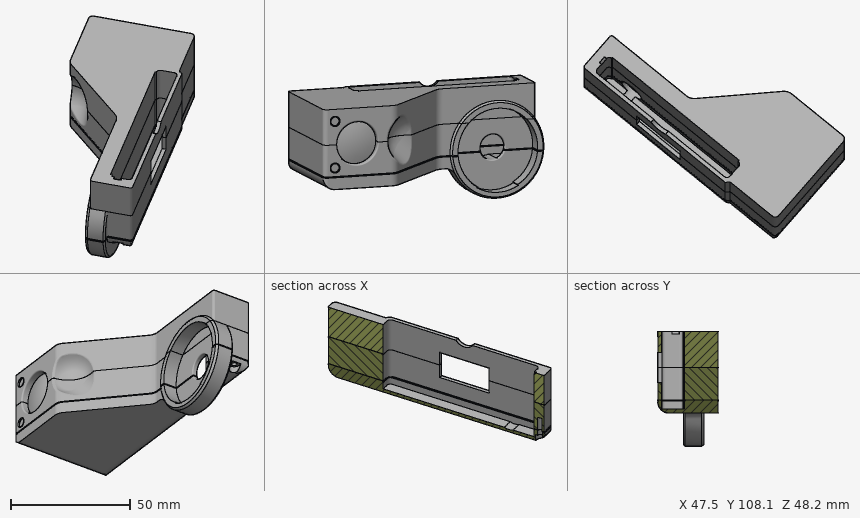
import cadquery as cq
import math

TOP_Z = 48.2
BOTTOM_Z = 14.0
WIDTH = 47.5
LENGTH = 108.1
ARM_LEFT_X = 29.1
ARM_END_Y = 3.8
SLANT_SUM = 76.1
STEP_X = 1.5
STEP_TOP_Y = 83.1
BLOCK_CORNER_R = 2.0
BEND_R = 5.0
ARM_CORNER_R = 1.0
BOTTOM_ROUND_R = 4.9

NEAR = 0.1
CUT_MARGIN = 1.1

MID_SEAM_Z = 33.1
LOW_SEAM_Z = 19.5
SEAM_CHAMFER = 0.4

DISH_R = 20.9
DISH_Y = DISH_R
DISH_Z = DISH_R
DISH_LEFT_X = 28.0
DISH_RIGHT_X = 36.7
DISH_RIM_CHAMFER_X = 1.1
DISH_RIM_CHAMFER_R = 0.8
DISH_BACK_CHAMFER = 0.8
DISH_BORE_R = 17.7
DISH_DEPTH = 6.3
DISH_FLOOR_X = DISH_LEFT_X + DISH_DEPTH
RELIEF_R = 18.2
RELIEF_HALF_ANGLE = 30.0
DISH_HOLE_D = 11.0
DISH_HOLE_ROUND_R = 0.5
DISH_BLEND_R = 5.0
DISH_ROOT_R = 0.3

SLOT_LEFT_X = 36.9
SLOT_RIGHT_X = 45.7
SLOT_Y0 = 8.9
SLOT_Y1 = 81.4
SLOT_FLOOR_Z = 15.8
SLOT_CORNER_R = 1.6
SLOT_SIDE_RELIEF = 0.5
SLOT_SIDE_MARGIN = 1.6
RAMP_X = 39.9
RAMP_WIDTH = 3.2
RAMP_DEPTH = 1.1
WINDOW_Y = 45.1
WINDOW_WIDTH = 23.8
WINDOW_TOP_Z = 39.4
NOTCH_R = 5.0
NOTCH_DEPTH = 2.1

SCOOP_R = 11.2
SCOOP_X = -0.2
SCOOP_Y = 68.2
SCOOP_EDGE_R = 1.0

LENS_Y = 93.2
LENS_D = 20.2
LENS_EDGE = 2.2
LENS_SPHERE_R = 32.4
LENS_LIP = 3.0
LENS_OPENING_D = 18.3
LENS_OPENING_ROUND_R = 0.6
MAGNET_D = 4.2
MAGNET_CHAMFER = 0.3
MAGNET_RECESS = 0.4
MAGNET_LENGTH = 3.0
MAGNET_Y = 103.1
MAGNET_OFFSET_Z = 10.0
MAGNET_HEIGHTS = [MID_SEAM_Z + MAGNET_OFFSET_Z, MID_SEAM_Z - MAGNET_OFFSET_Z]

SCREW_X = 41.2
SCREW_Y = 6.0
SCREW_HEAD_D = 4.2
SCREW_HEAD_TOP_Z = 16.9
SCREW_CLEARANCE_D = 2.3
SCREW_PILOT_D = 2.0
SCREW_PILOT_DEPTH = 6.5


def box(x0, x1, y0, y1, z0, z1):
    return cq.Workplane("XY").box(x1 - x0, y1 - y0, z1 - z0, centered=False).translate((x0, y0, z0))


def cylinder_x(radius, x0, x1, y, z):
    return cq.Workplane("YZ", origin=(x0, y, z)).circle(radius).extrude(x1 - x0)


def cylinder_z(radius, x, y, z0, z1):
    return cq.Workplane("XY", origin=(x, y, z0)).circle(radius).extrude(z1 - z0)


def between(body, low_z, high_z):
    """The part of a body that lies between two heights."""
    layer = box(-CUT_MARGIN, WIDTH + CUT_MARGIN, -CUT_MARGIN, LENGTH + CUT_MARGIN, low_z, high_z)
    return body.intersect(layer)


def vertical_edge(body, x, y):
    selector = cq.selectors.BoxSelector((x - NEAR, y - NEAR, 0), (x + NEAR, y + NEAR, TOP_Z))
    return body.edges("|Z").edges(selector)


def make_block():
    outline = [
        (0, LENGTH),
        (0, SLANT_SUM),
        (ARM_LEFT_X, SLANT_SUM - ARM_LEFT_X),
        (ARM_LEFT_X, ARM_END_Y),
        (WIDTH, ARM_END_Y),
        (WIDTH, STEP_TOP_Y - STEP_X),
        (WIDTH - STEP_X, STEP_TOP_Y),
        (WIDTH - STEP_X, LENGTH),
    ]
    block = cq.Workplane("XY", origin=(0, 0, BOTTOM_Z)).polyline(outline).close().extrude(TOP_Z - BOTTOM_Z)
    flank_bends = outline[1:3]
    arm_corners = outline[3:5]
    block_corners = [outline[0], outline[-1]]
    for corners, radius in (
        (flank_bends, BEND_R),
        (arm_corners, ARM_CORNER_R),
        (block_corners, BLOCK_CORNER_R),
    ):
        for x, y in corners:
            block = vertical_edge(block, x, y).fillet(radius)
    return block


def bottom_rounding():
    """Material outside the rounded bottom edges on the +X, +Y and -Y sides."""
    keep = box(-CUT_MARGIN, WIDTH, ARM_END_Y, LENGTH, BOTTOM_Z, TOP_Z)
    keep = keep.edges("<Z").edges(">X or >Y or <Y").fillet(BOTTOM_ROUND_R)
    surround = box(-CUT_MARGIN, WIDTH + CUT_MARGIN, 0, LENGTH + CUT_MARGIN, BOTTOM_Z, LOW_SEAM_Z)
    return surround.cut(keep)


def dish_disc():
    return cylinder_x(DISH_R, DISH_LEFT_X, DISH_RIGHT_X, DISH_Y, DISH_Z)


def dish_chamfers():
    """Material outside the chamfered edges of the disc, where the disc stands clear of the arm."""
    chamfered = dish_disc().faces("<X").chamfer(DISH_RIM_CHAMFER_X, DISH_RIM_CHAMFER_R)
    chamfered = chamfered.faces(">X").chamfer(DISH_BACK_CHAMFER)
    return dish_disc().cut(chamfered).cut(make_block())


def dish_blend():
    """Concave rounding between the underside of the arm and the disc."""
    r = DISH_BLEND_R
    drop = DISH_Z - BOTTOM_Z
    tangent_y = DISH_Y + math.sqrt((DISH_R + r) ** 2 - (drop + r) ** 2)
    center_z = BOTTOM_Z - r
    wedge = cq.Workplane("YZ", origin=(ARM_LEFT_X, 0, 0)).polyline(
        [(DISH_Y, DISH_Z), (tangent_y, BOTTOM_Z), (tangent_y, center_z)]
    ).close().extrude(DISH_RIGHT_X - DISH_BACK_CHAMFER - ARM_LEFT_X)
    return between(wedge.cut(cylinder_x(r, 0, WIDTH, tangent_y, center_z)), 0, BOTTOM_Z)


def dish_bore():
    bore = cylinder_x(DISH_BORE_R, DISH_LEFT_X, DISH_FLOOR_X, DISH_Y, DISH_Z)
    hole = cylinder_x(DISH_HOLE_D / 2, DISH_FLOOR_X, SLOT_RIGHT_X, DISH_Y, DISH_Z)
    hole_mouth = cq.selectors.RadiusNthSelector(0)
    return bore.union(hole).faces("<X[1]").edges(hole_mouth).fillet(DISH_HOLE_ROUND_R)


def dish_relief():
    """Wider stretch of the bore, a sector centred on the lowest point."""
    half_width = RELIEF_R * math.tan(math.radians(RELIEF_HALF_ANGLE))
    sector = cq.Workplane("YZ", origin=(DISH_LEFT_X, DISH_Y, DISH_Z)).polyline(
        [(0, 0), (-half_width, -RELIEF_R), (half_width, -RELIEF_R)]
    ).close().extrude(DISH_DEPTH)
    ring = cylinder_x(RELIEF_R, DISH_LEFT_X, DISH_FLOOR_X, DISH_Y, DISH_Z)
    return ring.cut(cylinder_x(DISH_BORE_R, DISH_LEFT_X, DISH_FLOOR_X, DISH_Y, DISH_Z)).intersect(sector)


def slot():
    body = box(SLOT_LEFT_X, SLOT_RIGHT_X, SLOT_Y0, SLOT_Y1, SLOT_FLOOR_Z, TOP_Z)
    body = body.edges("|Z").fillet(SLOT_CORNER_R)
    side = box(
        SLOT_LEFT_X - SLOT_SIDE_RELIEF, SLOT_LEFT_X + SLOT_CORNER_R,
        SLOT_Y0 + SLOT_SIDE_MARGIN, SLOT_Y1 - SLOT_SIDE_MARGIN, SLOT_FLOOR_Z, TOP_Z,
    )
    ramp = cq.Workplane("YZ", origin=(RAMP_X - RAMP_WIDTH / 2, 0, 0)).polyline(
        [(SLOT_Y0, TOP_Z), (SLOT_Y0 - RAMP_DEPTH, TOP_Z), (SLOT_Y0, TOP_Z - RAMP_DEPTH)]
    ).close().extrude(RAMP_WIDTH)
    return body.union(side).union(ramp)


def window_and_notch():
    """Opening through the slot's +X wall, and a finger notch in the wall's top edge above it."""
    half_height = WINDOW_TOP_Z - MID_SEAM_Z
    window = box(
        SLOT_RIGHT_X, WIDTH, WINDOW_Y - WINDOW_WIDTH / 2, WINDOW_Y + WINDOW_WIDTH / 2,
        MID_SEAM_Z - half_height, MID_SEAM_Z + half_height,
    )
    notch = cylinder_x(NOTCH_R, SLOT_RIGHT_X, WIDTH, WINDOW_Y, TOP_Z + NOTCH_R - NOTCH_DEPTH)
    return window.union(notch)


def thumb_scoop():
    """Ball-ended cylinder that leaves the slanted flank downwards and towards -Y."""
    center = (SCOOP_X, SCOOP_Y, MID_SEAM_Z)
    ball = cq.Workplane("XY").sphere(SCOOP_R).translate(center)
    outward = cq.Plane(center, xDir=(1, 0, 0), normal=(0, -1, -1))
    run = cq.Workplane(outward).circle(SCOOP_R).extrude(3 * SCOOP_R)
    return ball.union(run)


def make_lens():
    rear_x = LENS_LIP + LENS_EDGE
    sag = LENS_SPHERE_R - math.sqrt(LENS_SPHERE_R ** 2 - (LENS_OPENING_D / 2) ** 2)
    apex_x = LENS_LIP - sag
    blank = cylinder_x(LENS_D / 2, apex_x, rear_x, LENS_Y, MID_SEAM_Z)
    ball = cq.Workplane("XY").sphere(LENS_SPHERE_R).translate((apex_x + LENS_SPHERE_R, LENS_Y, MID_SEAM_Z))
    return blank.intersect(ball)


def lens_opening():
    opening = cylinder_x(LENS_OPENING_D / 2, 0, LENS_LIP, LENS_Y, MID_SEAM_Z)
    plate = box(0, LENS_LIP, LENS_Y - LENS_D, LENS_Y + LENS_D, MID_SEAM_Z - LENS_D, MID_SEAM_Z + LENS_D)
    rounded = plate.cut(opening).faces("<X").edges("%CIRCLE").fillet(LENS_OPENING_ROUND_R)
    return cylinder_x(LENS_D / 2, 0, LENS_LIP, LENS_Y, MID_SEAM_Z).cut(rounded)


def magnet_pocket(z):
    return cylinder_x(MAGNET_D / 2, 0, MAGNET_RECESS + MAGNET_LENGTH, MAGNET_Y, z)


def make_magnet(z):
    magnet = cylinder_x(MAGNET_D / 2, MAGNET_RECESS, MAGNET_RECESS + MAGNET_LENGTH, MAGNET_Y, z)
    return magnet.faces("<X").chamfer(MAGNET_CHAMFER)


def screw_hole():
    """Stepped hole from below, whose head recess opens through the rounded end of the arm."""
    head = cylinder_z(SCREW_HEAD_D / 2, SCREW_X, SCREW_Y, BOTTOM_Z, SCREW_HEAD_TOP_Z)
    clearance = cylinder_z(SCREW_CLEARANCE_D / 2, SCREW_X, SCREW_Y, BOTTOM_Z, LOW_SEAM_Z)
    pilot = cylinder_z(SCREW_PILOT_D / 2, SCREW_X, SCREW_Y, LOW_SEAM_Z, LOW_SEAM_Z + SCREW_PILOT_DEPTH)
    mouth = box(
        SCREW_X - SCREW_HEAD_D / 2, SCREW_X + SCREW_HEAD_D / 2, 0, SCREW_Y, BOTTOM_Z, SCREW_HEAD_TOP_Z,
    )
    return head.union(mouth).union(clearance).union(pilot)


def make_upper_stack():
    """The upper and middle shells in one piece, down to the low seam."""
    scooped = make_block().cut(thumb_scoop())
    scoop_area = cq.selectors.BoxSelector(
        (-NEAR, SCOOP_Y - 2 * SCOOP_R, LOW_SEAM_Z + NEAR),
        (2 * SCOOP_R, SCOOP_Y + 2 * SCOOP_R, TOP_Z - NEAR),
    )
    scooped = scooped.edges(scoop_area).edges("not |Z").fillet(SCOOP_EDGE_R)
    stack = between(scooped.union(dish_disc()), LOW_SEAM_Z, TOP_Z)
    for cutter in (dish_bore(), slot(), window_and_notch(), lens_opening(), make_lens(), screw_hole()):
        stack = stack.cut(cutter)
    for z in MAGNET_HEIGHTS:
        stack = stack.cut(magnet_pocket(z))
    return stack.cut(dish_chamfers())


def make_upper(stack):
    return between(stack, MID_SEAM_Z, TOP_Z)


def make_middle(stack):
    middle = between(stack, LOW_SEAM_Z, MID_SEAM_Z)
    root_area = cq.selectors.BoxSelector(
        (DISH_LEFT_X, ARM_END_Y - NEAR, LOW_SEAM_Z + NEAR),
        (DISH_RIGHT_X + NEAR, ARM_END_Y + NEAR, MID_SEAM_Z - NEAR),
    )
    return middle.edges(root_area).fillet(DISH_ROOT_R)


def slot_seam_flare():
    """Chamfer along the slot walls at the top face of the lower shell."""
    flare = box(
        SLOT_LEFT_X - SLOT_SIDE_RELIEF - SEAM_CHAMFER, SLOT_RIGHT_X + SEAM_CHAMFER,
        SLOT_Y0 - SEAM_CHAMFER, SLOT_Y1 + SEAM_CHAMFER, LOW_SEAM_Z - SEAM_CHAMFER, LOW_SEAM_Z,
    )
    nearly_full = SEAM_CHAMFER - 0.001
    return flare.faces("<Z").chamfer(nearly_full)


def make_lower():
    """Lower shell, with all edges of its top face chamfered so that the seam shows as a groove."""
    base = between(make_block(), BOTTOM_Z, LOW_SEAM_Z).faces(">Z").chamfer(SEAM_CHAMFER)
    disc = between(dish_disc(), 0, LOW_SEAM_Z).faces(">Z").chamfer(SEAM_CHAMFER)
    lower = base.cut(bottom_rounding()).union(disc).union(dish_blend())
    lower = lower.cut(between(dish_bore(), 0, LOW_SEAM_Z))
    bore_area = cq.selectors.BoxSelector(
        (DISH_LEFT_X + DISH_DEPTH / 3, DISH_Y - DISH_BORE_R, LOW_SEAM_Z - NEAR),
        (DISH_FLOOR_X + NEAR, DISH_Y + DISH_BORE_R, LOW_SEAM_Z + NEAR),
    )
    lower = lower.faces(">Z").edges(bore_area).chamfer(SEAM_CHAMFER)
    for cutter in (dish_relief(), slot(), slot_seam_flare(), screw_hole(), dish_chamfers()):
        lower = lower.cut(cutter)
    return lower


upper_stack = make_upper_stack()
upper = make_upper(upper_stack)
middle = make_middle(upper_stack)
lower = make_lower()
lens = make_lens()
magnets = [make_magnet(z) for z in MAGNET_HEIGHTS]

result = cq.Compound.makeCompound(
    [upper.val(), middle.val(), lower.val(), lens.val(), *[magnet.val() for magnet in magnets]]
)